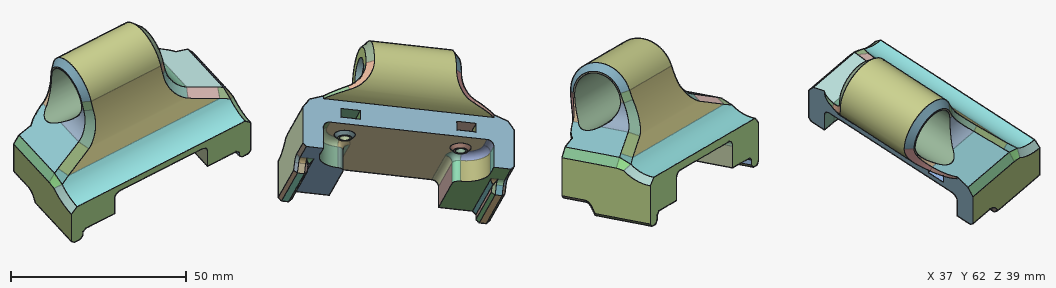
import cadquery as cq
import math

depth = 29.0
length = 62.0
height = 39.0
half_length = length / 2
rim_chamfer = 2.0

tube_radius = 10.0
tube_length = 28.0
tube_x = 2.0
tube_z = height - tube_radius
bore_diameter = 10.0
counterbore_diameter = 15.0
lip_thickness = 2.0

rear_z = 14.5
lower_arc_radius = 12.0
upper_arc_radius = 40.0

roof_angle = 20.0
roof_blend_radius = 7.0

leg_bottom_z = 3.5
lower_chamfer = 1.0
cavity_top_z = 12.0
cavity_front_half_width = 25.0
cavity_rear_half_width = 16.0
cavity_straight_depth = 4.0
cavity_corner_radius = 7.0
ceiling_radius = 2.0
rail_width = 4.0
rail_front_x = 8.4
rail_front_angle = 60.0
rail_root_radius = 2.0
rail_inner_root = 1.0

screw_x = 7.0
screw_y = 17.0
screw_hole_diameter = 3.0
boss_diameter = 6.0
boss_height = 1.0
nut_slot_width = 5.65
nut_slot_bottom_z = 14.0
nut_slot_height = 2.7

TOLERANCE = 0.005


def on_circle(center_x, center_y, radius, angle):
    """Point on a circle at an angle in degrees."""
    a = math.radians(angle)
    return (center_x + radius * math.cos(a), center_y + radius * math.sin(a))


def extrude_across(profile, y_min, y_max):
    """Extrude an XZ profile from y_min to y_max."""
    return profile.extrude(-(y_max - y_min)).translate((0, y_min, 0))


def side_profile():
    """XZ outline: tube at the front, concave slope down to the rear face."""
    lower_center_z = rear_z + lower_arc_radius

    lower_to_upper = upper_arc_radius - lower_arc_radius
    tube_to_upper = upper_arc_radius + tube_radius
    span_x = depth - tube_x
    span_z = lower_center_z - tube_z
    span = math.hypot(span_x, span_z)
    cosine = (span**2 + tube_to_upper**2 - lower_to_upper**2) / (2 * span * tube_to_upper)
    tangent_angle = math.degrees(math.atan2(span_z, span_x) + math.acos(cosine))
    slope_top = on_circle(tube_x, tube_z, tube_radius, tangent_angle)
    upper_center = on_circle(tube_x, tube_z, tube_to_upper, tangent_angle)
    joint_angle = math.degrees(math.atan2(lower_center_z - upper_center[1], depth - upper_center[0]))
    arc_middle = on_circle(depth, lower_center_z, lower_arc_radius, (joint_angle - 90) / 2)
    arc_end = on_circle(depth, lower_center_z, lower_arc_radius, joint_angle)
    tube_left = (tube_x - tube_radius, tube_z)
    foot_angle = 180 + math.degrees(math.acos(tube_x / tube_radius))
    tube_foot = on_circle(tube_x, tube_z, tube_radius, foot_angle)
    tube_top = (tube_x, height)
    tube_low = on_circle(tube_x, tube_z, tube_radius, (180 + foot_angle) / 2)
    return (
        cq.Workplane("XZ")
        .moveTo(0, leg_bottom_z)
        .lineTo(depth, leg_bottom_z)
        .lineTo(depth, rear_z)
        .threePointArc(arc_middle, arc_end)
        .tangentArcPoint(slope_top, relative=False)
        .threePointArc(tube_top, tube_left)
        .threePointArc(tube_low, tube_foot)
        .close()
    )


def front_profile():
    """YZ outline: tube ends blended into two roofs that fall towards the block ends."""
    half_tube = tube_length / 2
    blend_y = half_tube + roof_blend_radius
    blend_end_angle = 270 - roof_angle
    blend_middle = on_circle(blend_y, tube_z, roof_blend_radius, (180 + blend_end_angle) / 2)
    blend_end = on_circle(blend_y, tube_z, roof_blend_radius, blend_end_angle)
    eave_z = blend_end[1] - (half_length - blend_end[0]) * math.tan(math.radians(roof_angle))

    def mirrored(point):
        return (-point[0], point[1])

    return (
        cq.Workplane("YZ")
        .moveTo(-half_length, leg_bottom_z)
        .lineTo(half_length, leg_bottom_z)
        .lineTo(half_length, eave_z)
        .lineTo(*blend_end)
        .threePointArc(blend_middle, (half_tube, tube_z))
        .lineTo(half_tube, height)
        .lineTo(-half_tube, height)
        .lineTo(-half_tube, tube_z)
        .threePointArc(mirrored(blend_middle), mirrored(blend_end))
        .lineTo(-half_length, eave_z)
        .close()
    )


def make_body():
    """Solid block with the outer top edges chamfered."""
    body = extrude_across(side_profile(), -half_length, half_length)
    body = body.intersect(front_profile().extrude(height, both=True))

    def is_rim(edge):
        box = edge.BoundingBox()
        center = edge.Center()
        along_x = box.ylen < TOLERANCE and box.zlen < TOLERANCE
        at_end = abs(abs(center.y) - half_length) < TOLERANCE
        in_flat_face = box.xlen < TOLERANCE and min(abs(box.xmin), abs(box.xmin - depth)) < TOLERANCE
        return (
            center.z > leg_bottom_z + TOLERANCE
            and abs(center.y) > TOLERANCE
            and not in_flat_face
            and (at_end or not along_x)
        )

    rim = [edge for edge in body.edges().vals() if is_rim(edge)]
    return body.newObject(rim).chamfer(rim_chamfer)


def rail_profile():
    """XZ outline of a rail: flared front end sloping down to a flat underside."""
    root = rail_root_radius * math.tan(math.radians(rail_front_angle / 2))
    arc_center = (rail_front_x - root, leg_bottom_z - rail_root_radius)
    arc_middle = on_circle(*arc_center, rail_root_radius, 90 - rail_front_angle / 2)
    arc_end = on_circle(*arc_center, rail_root_radius, 90 - rail_front_angle)
    toe_x = rail_front_x + leg_bottom_z / math.tan(math.radians(rail_front_angle))
    return (
        cq.Workplane("XZ")
        .moveTo(rail_front_x - root, leg_bottom_z)
        .threePointArc(arc_middle, arc_end)
        .lineTo(toe_x, 0)
        .lineTo(depth, 0)
        .lineTo(depth, leg_bottom_z)
        .close()
    )


def make_rail():
    """Rail along the +Y end with its inner lower edges chamfered and its inner root thickened."""
    inner_y = half_length - rail_width
    rail = extrude_across(rail_profile(), inner_y, half_length)
    rail = rail.faces("<Y").edges("not(>Z or >X)").chamfer(lower_chamfer)
    root_wedge = (
        cq.Workplane("YZ")
        .moveTo(inner_y - rail_inner_root, leg_bottom_z)
        .lineTo(inner_y, leg_bottom_z - rail_inner_root)
        .lineTo(inner_y + rail_inner_root, leg_bottom_z)
        .close()
        .extrude(depth)
    )
    root_wedge = root_wedge.intersect(extrude_across(rail_profile(), 0, half_length))
    return rail.union(root_wedge)


def make_cavity():
    """Space between the legs: wide at the front, narrower behind, rounded along its ceiling."""
    step_y = cavity_front_half_width - cavity_corner_radius
    rear_wall_x = cavity_straight_depth + cavity_corner_radius
    step_edge_radius = step_y - cavity_rear_half_width
    narrow_x = rear_wall_x + step_edge_radius
    corner_middle = on_circle(cavity_straight_depth, step_y, cavity_corner_radius, 45)
    edge_middle = on_circle(narrow_x, step_y, step_edge_radius, 225)
    half = (
        cq.Workplane("XY")
        .lineTo(0, cavity_front_half_width)
        .lineTo(cavity_straight_depth, cavity_front_half_width)
        .threePointArc(corner_middle, (rear_wall_x, step_y))
        .threePointArc(edge_middle, (narrow_x, cavity_rear_half_width))
        .lineTo(depth, cavity_rear_half_width)
        .lineTo(depth, 0)
        .close()
        .extrude(cavity_top_z)
    )
    cavity = half.union(half.mirror("XZ"))
    return cavity.faces(">Z").edges("not(<X or >X)").fillet(ceiling_radius)


def add_rails(body):
    """Join both rails and chamfer the lower outer edges of the two block ends."""
    rail = make_rail()
    body = body.union(rail).union(rail.mirror("XZ"))
    for side in ("<Y", ">Y"):
        edges = [
            edge
            for edge in body.faces(side).edges().vals()
            if edge.Center().z < leg_bottom_z + TOLERANCE and edge.BoundingBox().xlen > TOLERANCE
        ]
        body = body.newObject(edges).chamfer(lower_chamfer)
    return body


def add_screw_seat(body, y):
    """Conical boss under the ceiling, screw hole and a nut slot open at the front."""
    boss = (
        cq.Workplane("XY", origin=(screw_x, y, cavity_top_z - boss_height))
        .circle(boss_diameter / 2)
        .extrude(2 * boss_height)
        .faces("<Z")
        .chamfer(boss_height)
    )
    slot_depth = screw_x + nut_slot_width / 2
    nut_slot = (
        cq.Workplane("XY", origin=(0, y, nut_slot_bottom_z))
        .box(slot_depth, nut_slot_width, nut_slot_height, centered=(False, True, False))
    )
    hole = (
        cq.Workplane("XY", origin=(screw_x, y, 0))
        .circle(screw_hole_diameter / 2)
        .extrude(nut_slot_bottom_z + nut_slot_height)
    )
    return body.union(boss).cut(nut_slot).cut(hole)


def cut_bores(body):
    """Through bore along the tube, widened from the -Y end up to a lip at the +Y end."""
    bore = (
        cq.Workplane("XZ", origin=(tube_x, 0, tube_z))
        .circle(bore_diameter / 2)
        .extrude(half_length, both=True)
    )
    counterbore_end = tube_length / 2 - lip_thickness
    counterbore = (
        cq.Workplane("XZ", origin=(tube_x, counterbore_end, tube_z))
        .circle(counterbore_diameter / 2)
        .extrude(counterbore_end + half_length)
    )
    return body.cut(bore).cut(counterbore)


result = make_body()
result = add_rails(result)
result = result.cut(make_cavity())
for seat_y in (-screw_y, screw_y):
    result = add_screw_seat(result, seat_y)
result = cut_bores(result)